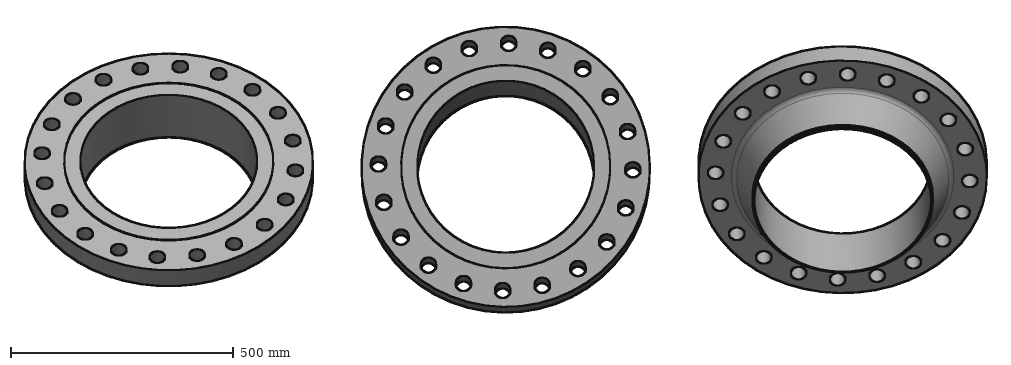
import cadquery as cq
flange_diameter = 648.0
total_height = 146.0

raised_face_diameter = 469.5
raised_face_height = 2.0
plate_thickness = 54.5

hub_base_diameter = 483.0
hub_base_fillet = 13.0
weld_end_diameter = 406.0
weld_end_height = 10.0
weld_bevel = 2.5
bore_diameter = 397.0

bolt_count = 20
bolt_circle_diameter = 571.0
bolt_hole_diameter = 35.0

plate_top = total_height - raised_face_height
plate_bottom = plate_top - plate_thickness


def make_body():
    """Revolve the solid outline of plate, hub and raised face."""
    weld_radius = weld_end_diameter / 2
    profile = (
        cq.Workplane("XZ")
        .moveTo(0, 0)
        .lineTo(weld_radius - weld_bevel, 0)
        .lineTo(weld_radius, weld_bevel)
        .lineTo(weld_radius, weld_end_height)
        .lineTo(hub_base_diameter / 2, plate_bottom)
        .lineTo(flange_diameter / 2, plate_bottom)
        .lineTo(flange_diameter / 2, plate_top)
        .lineTo(raised_face_diameter / 2, plate_top)
        .lineTo(raised_face_diameter / 2, total_height)
        .lineTo(0, total_height)
        .close()
    )
    return profile.revolve(360, (0, 0, 0), (0, 1, 0))


def round_hub_base(body):
    """Fillet the inner corner where the hub meets the plate."""
    half_width = hub_base_diameter / 2 + hub_base_fillet
    hub_corner = cq.selectors.BoxSelector(
        (-half_width, -half_width, plate_bottom - hub_base_fillet / 2),
        (half_width, half_width, plate_bottom + hub_base_fillet / 2),
        boundingbox=True,
    )
    return body.edges(hub_corner).edges("%CIRCLE").fillet(hub_base_fillet)


def make_bore():
    return cq.Workplane("XY").circle(bore_diameter / 2).extrude(total_height)


def make_bolt_holes():
    """One hole lies on the +X axis, the rest at equal angles."""
    return (
        cq.Workplane("XY")
        .workplane(offset=plate_bottom)
        .polarArray(bolt_circle_diameter / 2, 0, 360, bolt_count)
        .circle(bolt_hole_diameter / 2)
        .extrude(plate_thickness)
    )


result = round_hub_base(make_body()).cut(make_bore()).cut(make_bolt_holes())